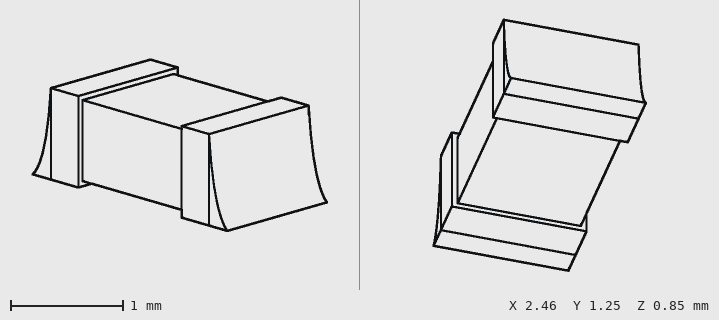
import cadquery as cq

length = 2.46
width = 1.25
height = 0.85
solder_reach = 0.231
terminal_length = 0.347
terminal_wall = 0.05
side_wall = 0.055
bend_reach = 0.057
bend_height = 0.148

terminal_end = length / 2 - solder_reach
core_end = terminal_end - terminal_length


def make_core():
    """Ceramic block that spans the gap between the terminals."""
    return cq.Workplane("XY").box(
        2 * core_end, width - 2 * side_wall, height - 2 * terminal_wall
    )


def make_terminal(side):
    """End block; side is -1 or +1 along X."""
    center_x = side * (core_end + terminal_end) / 2
    return cq.Workplane("XY").box(terminal_length, width, height).translate((center_x, 0, 0))


def make_solder(side):
    """Concave solder wedge against the outer face of a terminal."""
    top = (side * terminal_end, height / 2)
    toe = (side * length / 2, -height / 2)
    bend = (side * (terminal_end + bend_reach), bend_height - height / 2)
    return (
        cq.Workplane("XZ", origin=(0, width / 2, 0))
        .moveTo(*top)
        .bezier([top, bend, toe])
        .lineTo(top[0], toe[1])
        .close()
        .extrude(width)
    )


core = make_core()
terminals = [make_terminal(side) for side in (-1, 1)]
solder_fillets = [make_solder(side) for side in (-1, 1)]

result = cq.Compound.makeCompound(
    [core.val()]
    + [terminal.val() for terminal in terminals]
    + [solder.val() for solder in solder_fillets]
)